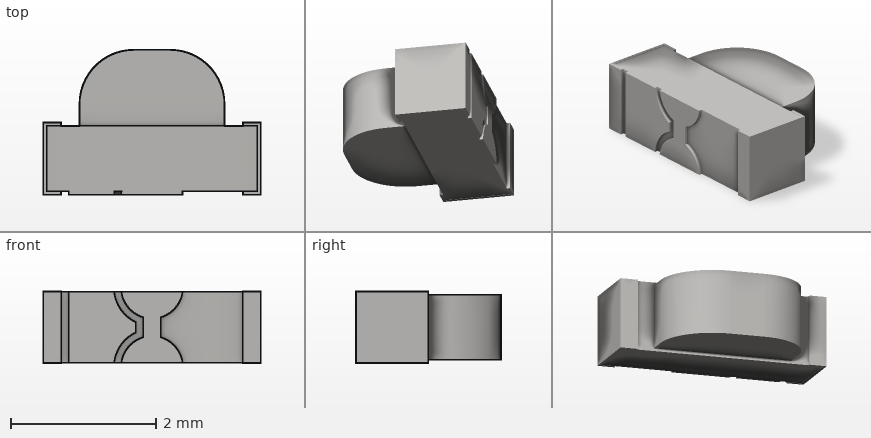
import cadquery as cq

length = 3.0
base_depth = 1.0
total_depth = 2.0
terminal_height = 0.99
base_height = 0.98

plating = 0.048
cap_reach = 0.25

mark_start_x = -length / 2 + 0.35
pad_radius = 0.425
pad_center_z = 0.545
neck_half_width = 0.123
mark_gap = 0.1

lens_width = 2.0
lens_height = 0.9
lens_corner_radius = 0.75

core_length = length - 2 * plating
core_depth = base_depth - 2 * plating
core_back_y = base_depth - plating


def centered_block(size_x, size_y, height, center_x, start_y):
    """Block centered on Z = 0 with its -Y face at start_y."""
    return (
        cq.Workplane("XY")
        .box(size_x, size_y, height, centered=(True, False, True))
        .translate((center_x, start_y, 0))
    )


def make_hourglass(radius, half_width):
    """Two round pads joined by a straight neck, cut off at the base's top and bottom."""
    outline = centered_block(2 * half_width, plating, base_height, 0, 0)
    for side in (-1, 1):
        pad = (
            cq.Workplane("XZ")
            .center(0, side * pad_center_z)
            .circle(radius)
            .extrude(-plating)
        )
        outline = outline.union(pad)
    limits = centered_block(2 * radius, plating, base_height, 0, 0)
    return outline.intersect(limits)


def make_marks():
    """Hourglass mark, and a plate on its -X side that follows it across a constant gap."""
    hourglass = make_hourglass(pad_radius, neck_half_width)
    clearance = make_hourglass(pad_radius + mark_gap, neck_half_width + mark_gap)
    plate_length = -mark_start_x
    plate = centered_block(plate_length, plating, base_height, mark_start_x / 2, 0)
    return plate.cut(clearance).union(hourglass)


def make_terminal_cap(side):
    """C-shaped cap wrapped around one end of the core."""
    cap_x = side * (length - cap_reach) / 2
    cap = centered_block(cap_reach, base_depth, terminal_height, cap_x, 0)
    opening = centered_block(core_length, core_depth, terminal_height, 0, plating)
    return cap.cut(opening)


def make_base():
    """Core with its two end caps and the raised front marks."""
    base = centered_block(core_length, core_depth, base_height, 0, plating)
    for side in (-1, 1):
        base = base.union(make_terminal_cap(side))
    return base.union(make_marks())


def make_lens():
    """Flat-topped dome with two large rounded corners, seated on the back of the core."""
    lens_depth = total_depth - core_back_y
    return (
        centered_block(lens_width, lens_depth, lens_height, 0, core_back_y)
        .edges("|Z and >Y")
        .fillet(lens_corner_radius)
    )


base = make_base()
lens = make_lens()

result = cq.Compound.makeCompound([base.val(), lens.val()])